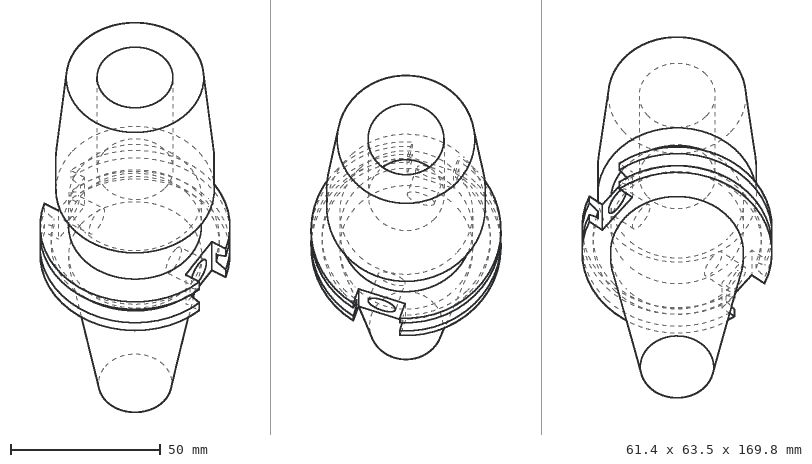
import cadquery as cq
import math


GAUGE_DIAMETER = 44.45
TAPER_RATIO = 7 / 24
TAPER_LENGTH = 68.25
TAPER_END_DIAMETER = GAUGE_DIAMETER - TAPER_RATIO * TAPER_LENGTH

FLANGE_DIAMETER = 63.5
FLANGE_BOTTOM = 3.175
FLANGE_THICKNESS = 15.875
FLANGE_TOP = FLANGE_BOTTOM + FLANGE_THICKNESS

GROOVE_CENTER = 11.176
GROOVE_FLOOR_DIAMETER = 56.3
GROOVE_FLOOR_WIDTH = 3.75
GROOVE_FLANK_ANGLE = 27.0

SLOT_WIDTH = 16.383
SLOT_FLOOR_OFFSET = 25.2
SLOT_HOLE_DIAMETER = 9.6
SLOT_HOLE_DEPTH = 10.0

NECK_DIAMETER = GAUGE_DIAMETER
BODY_DIAMETER = 53.0
BODY_BOTTOM = 39.3
NECK_TOP = BODY_BOTTOM - (BODY_DIAMETER - NECK_DIAMETER) / 2
BODY_CONE_START = 57.5
NOSE_DIAMETER = 46.0
NOSE_TOP = 101.6

BORE_DIAMETER = 25.4
BORE_DEPTH = 2 * BORE_DIAMETER


def revolve_about_z(diameter_height_pairs):
    """Solid of revolution from (diameter, height) pairs, closed along the axis."""
    points = [(diameter / 2, height) for diameter, height in diameter_height_pairs]
    bottom = points[0][1]
    top = points[-1][1]
    outline = [(0, bottom)] + points + [(0, top)]
    return cq.Workplane("XZ").polyline(outline).close().revolve(360, (0, 0), (0, 1))


def holder_body():
    flank_depth = (FLANGE_DIAMETER - GROOVE_FLOOR_DIAMETER) / 2
    floor_half = GROOVE_FLOOR_WIDTH / 2
    mouth_half = floor_half + flank_depth * math.tan(math.radians(GROOVE_FLANK_ANGLE))
    return revolve_about_z([
        (TAPER_END_DIAMETER, -TAPER_LENGTH),
        (GAUGE_DIAMETER, 0),
        (GAUGE_DIAMETER, FLANGE_BOTTOM),
        (FLANGE_DIAMETER, FLANGE_BOTTOM),
        (FLANGE_DIAMETER, GROOVE_CENTER - mouth_half),
        (GROOVE_FLOOR_DIAMETER, GROOVE_CENTER - floor_half),
        (GROOVE_FLOOR_DIAMETER, GROOVE_CENTER + floor_half),
        (FLANGE_DIAMETER, GROOVE_CENTER + mouth_half),
        (FLANGE_DIAMETER, FLANGE_TOP),
        (NECK_DIAMETER, FLANGE_TOP),
        (NECK_DIAMETER, NECK_TOP),
        (BODY_DIAMETER, BODY_BOTTOM),
        (BODY_DIAMETER, BODY_CONE_START),
        (NOSE_DIAMETER, NOSE_TOP),
    ])


def tool_bore():
    return (
        cq.Workplane("XY", origin=(0, 0, NOSE_TOP - BORE_DEPTH))
        .circle(BORE_DIAMETER / 2)
        .extrude(BORE_DEPTH)
    )


def drive_slot(side):
    """Slot cutter with its floor hole; side is -1 for the -X slot and +1 for the +X slot."""
    flange_middle = (FLANGE_BOTTOM + FLANGE_TOP) / 2
    slot_reach = FLANGE_DIAMETER / 2
    floor_plane = cq.Workplane("YZ", origin=(side * SLOT_FLOOR_OFFSET, 0, flange_middle))
    slot = floor_plane.rect(SLOT_WIDTH, FLANGE_THICKNESS).extrude(side * slot_reach)
    hole = floor_plane.circle(SLOT_HOLE_DIAMETER / 2).extrude(-side * SLOT_HOLE_DEPTH)
    return slot.union(hole)


result = holder_body().cut(tool_bore())
for slot_side in (-1, 1):
    result = result.cut(drive_slot(slot_side))